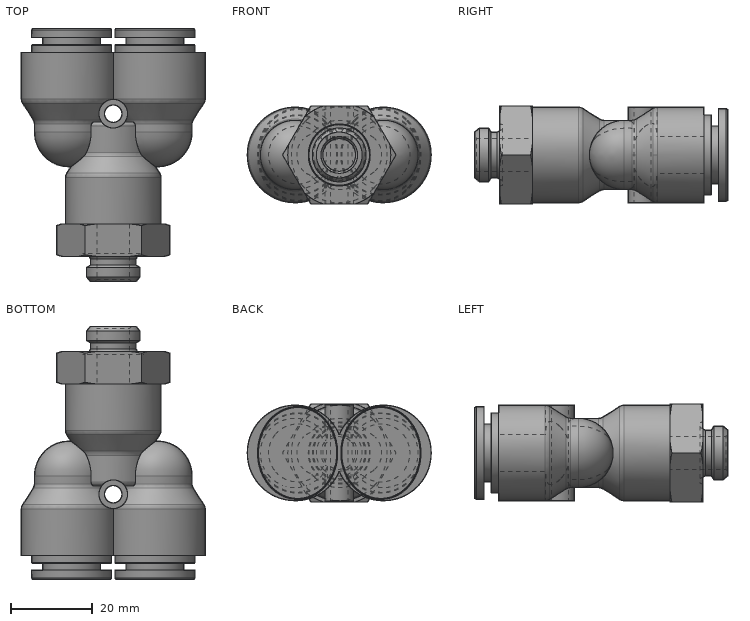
import cadquery as cq
import math

overall_length = 61.9
overall_width = 45.0

tube_radius = 23.4 / 2
neck_radius = 16.95 / 2
branch_offset = overall_width / 2 - tube_radius
blend_radius = 2.0
stem_start_y = 14.1
stem_cone_start_y = 26.0
cone_length = 5.0
dome_center_y = 36.5
branch_cone_start_y = 39.05
branch_end_y = 56.0
stem_end_y = branch_cone_start_y
stem_end_round = 1.0

eye_y = 41.05
eye_diameter = 7.0
eye_hole_diameter = 4.2
eye_height = 2 * tube_radius

hex_across_flats = 24.0
hex_corner_radius = hex_across_flats / 2 / math.cos(math.pi / 6)
hex_start_y = 6.1
hex_face_radius = 25.2 / 2
hex_chamfer_height = 0.45
thread_radius = 13.2 / 2
thread_chamfer_length = 1.2
thread_end_y = 3.4
relief_radius = 11.2 / 2
relief_start_y = 4.0
relief_end_y = 5.5
root_radius = 12.6 / 2
recess_mouth_radius = 15.15 / 2
recess_floor_radius = 14.8 / 2
recess_depth = 0.75
bore_radius = 8.0 / 2
bore_chamfer = 0.5

outlet_gap = 0.75
collar_radius = 19.6 / 2
outlet_offset = collar_radius + outlet_gap / 2
collar_end_y = 57.95
collar_chamfer = 0.2
sleeve_neck_radius = 14.2 / 2
flange_start_y = 59.6
flange_width = 2 * collar_radius
flange_height = 22.7
flange_chamfer_length = 0.45
flange_chamfer_width = 0.25


def revolved(profile):
    """Turn a closed (radius, y) profile about the Y axis."""
    return profile.close().revolve(360, (0, 0, 0), (0, 1, 0))


def cylinder_along_y(radius, start_y, end_y):
    return revolved(
        cq.Workplane("XY").moveTo(0, start_y).lineTo(radius, start_y).lineTo(radius, end_y).lineTo(0, end_y)
    )


def round_edge(body, y, radius):
    """Round the circular edge of a turned body that lies at height y."""
    return body.edges(cq.selectors.NearestToPointSelector((0, y, 0))).fillet(radius)


def make_stem():
    cone_end_y = stem_cone_start_y + cone_length
    stem = revolved(
        cq.Workplane("XY")
        .moveTo(0, stem_start_y)
        .lineTo(tube_radius, stem_start_y)
        .lineTo(tube_radius, stem_cone_start_y)
        .lineTo(neck_radius, cone_end_y)
        .lineTo(neck_radius, stem_end_y)
        .lineTo(0, stem_end_y)
    )
    stem = round_edge(stem, stem_cone_start_y, blend_radius)
    stem = round_edge(stem, cone_end_y, blend_radius)
    return round_edge(stem, stem_end_y, stem_end_round)


def make_branch(x):
    cone_end_y = branch_cone_start_y + cone_length
    dome_slant = neck_radius * math.sqrt(0.5)
    branch = revolved(
        cq.Workplane("XY")
        .moveTo(0, dome_center_y - neck_radius)
        .threePointArc((dome_slant, dome_center_y - dome_slant), (neck_radius, dome_center_y))
        .lineTo(neck_radius, branch_cone_start_y)
        .lineTo(tube_radius, cone_end_y)
        .lineTo(tube_radius, branch_end_y)
        .lineTo(0, branch_end_y)
    )
    branch = round_edge(branch, branch_cone_start_y, blend_radius)
    branch = round_edge(branch, cone_end_y, blend_radius)
    return branch.translate((x, 0, 0))


def eye_cylinder(diameter):
    return cq.Workplane("XY").center(0, eye_y).circle(diameter / 2).extrude(eye_height / 2, both=True)


def make_housing():
    housing = make_stem()
    for side in (-1, 1):
        housing = housing.union(make_branch(side * branch_offset))
    return housing.union(eye_cylinder(eye_diameter)).cut(eye_cylinder(eye_hole_diameter))


def make_hexagon():
    """Hexagon with flats facing +Z and -Z and its corners chamfered at both ends."""
    hexagon = (
        cq.Workplane("XZ", origin=(0, hex_start_y, 0))
        .polygon(6, 2 * hex_corner_radius)
        .extrude(hex_start_y - stem_start_y)
    )
    corner_envelope = revolved(
        cq.Workplane("XY")
        .moveTo(0, hex_start_y)
        .lineTo(hex_face_radius, hex_start_y)
        .lineTo(hex_corner_radius, hex_start_y + hex_chamfer_height)
        .lineTo(hex_corner_radius, stem_start_y - hex_chamfer_height)
        .lineTo(hex_face_radius, stem_start_y)
        .lineTo(0, stem_start_y)
    )
    return hexagon.intersect(corner_envelope)


def make_stud():
    recess_floor_y = hex_start_y + recess_depth
    recess = revolved(
        cq.Workplane("XY")
        .moveTo(0, hex_start_y)
        .lineTo(recess_mouth_radius, hex_start_y)
        .lineTo(recess_floor_radius, recess_floor_y)
        .lineTo(0, recess_floor_y)
    )
    spigot = revolved(
        cq.Workplane("XY")
        .lineTo(relief_radius, 0)
        .lineTo(thread_radius, thread_chamfer_length)
        .lineTo(thread_radius, thread_end_y)
        .lineTo(relief_radius, relief_start_y)
        .lineTo(relief_radius, relief_end_y)
        .lineTo(root_radius, recess_floor_y)
        .lineTo(0, recess_floor_y)
    )
    bore = revolved(
        cq.Workplane("XY")
        .lineTo(bore_radius + bore_chamfer, 0)
        .lineTo(bore_radius, bore_chamfer)
        .lineTo(bore_radius, stem_start_y)
        .lineTo(0, stem_start_y)
    )
    return make_hexagon().cut(recess).union(spigot).cut(bore)


def make_collar(x):
    collar = cylinder_along_y(collar_radius, branch_end_y, collar_end_y)
    return collar.faces(">Y").chamfer(collar_chamfer).translate((x, 0, 0))


def make_sleeve(x):
    """Release sleeve: a round neck that carries an oval push flange."""
    neck = cylinder_along_y(sleeve_neck_radius, collar_end_y, flange_start_y)
    flange = (
        cq.Workplane("XZ", origin=(0, flange_start_y, 0))
        .ellipse(flange_width / 2, flange_height / 2)
        .extrude(flange_start_y - overall_length)
        .faces(">Y")
        .chamfer(flange_chamfer_length, flange_chamfer_width)
    )
    return neck.union(flange).translate((x, 0, 0))


housing = make_housing()
stud = make_stud()
collars = []
sleeves = []
for side in (-1, 1):
    collars.append(make_collar(side * outlet_offset).val())
    sleeves.append(make_sleeve(side * outlet_offset).val())

result = cq.Compound.makeCompound([housing.val(), stud.val(), *collars, *sleeves])